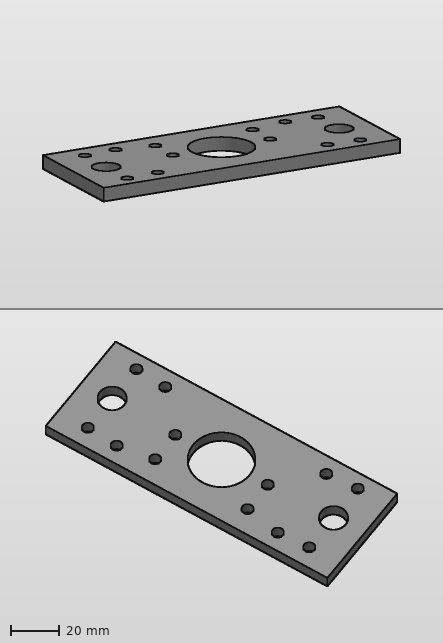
import cadquery as cq

plate_width = 52.0
plate_length = 140
plate_thickness = 6.0

bore_diameter = 28
end_hole_diameter = 12.0
screw_hole_diameter = 5.0

end_row_y = 55.0
middle_row_y = 40.0
inner_row_y = 23.0

end_row_shift = 1.0
screw_half_spacing = 18.0
inner_hole_offset = 15.0


def mirrored_rows(x_places, y):
    """Points at the given X places, in rows at +y and -y."""
    return [(x, side * y) for side in (1, -1) for x in x_places]


def drill(body, points, diameter):
    """Cut plain through holes from the top face."""
    top = body.faces(">Z").workplane(origin=(0, 0, 0))
    return top.pushPoints(points).hole(diameter)


screw_points = (
    mirrored_rows([end_row_shift - screw_half_spacing, end_row_shift + screw_half_spacing], end_row_y)
    + mirrored_rows([-screw_half_spacing, screw_half_spacing], middle_row_y)
    + mirrored_rows([-inner_hole_offset, 0], inner_row_y)
)

plate = cq.Workplane("XY").box(plate_width, plate_length, plate_thickness)
plate = drill(plate, [(0, 0)], bore_diameter)
plate = drill(plate, mirrored_rows([end_row_shift], end_row_y), end_hole_diameter)
result = drill(plate, screw_points, screw_hole_diameter)